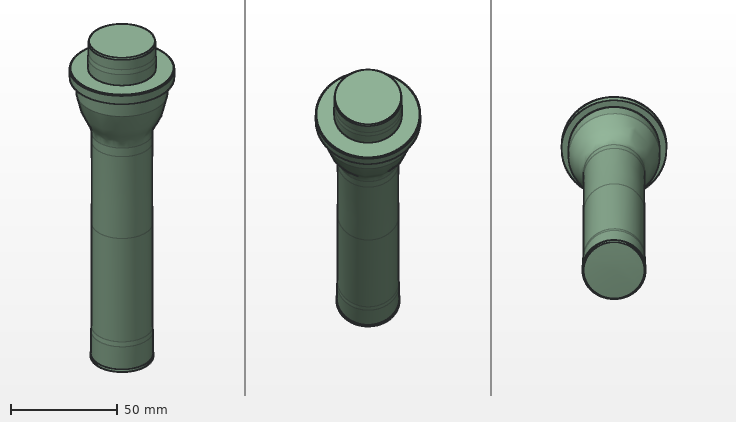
import cadquery as cq
import math

total_height = 174.0

collar_radius = 43.0 / 2

plug_top_radius = 31.7 / 2
plug_base_radius = 32.0 / 2
plug_chamfer_width = 0.3
plug_chamfer_height = 1.0
plug_taper_top_z = 167.7
plug_taper_height = 2.6
flange_radius = 49.5 / 2
flange_top_z = 159.0
flange_bottom_z = 154.0
flange_chamfer = 0.5
step_height = 0.5
seat_z = flange_bottom_z - step_height

collar_bottom_z = 145.5
shaft_radius = 28.9 / 2
flare_shoulder = (17.5, 132.2)
flare_neck = (15.5, 129.0)
flare_bottom_z = 123.9
flare_top_slope = 0.25
waist_top_z = 119.2
waist_bottom_z = 74.3
waist_depth = 0.2
end_radius = 29.2 / 2
end_taper_top_z = 17.5
end_taper_height = 2.6
lip_radius = 15.0
lip_top_z = 2.5
lip_middle_z = 1.5
dome_rim_radius = 14.3
dome_height = 0.7


def build_head():
    """Chamfered plug with a slight taper band, above a chamfered flange with a thin step below."""
    profile = (
        cq.Workplane("XZ")
        .moveTo(0, total_height)
        .lineTo(plug_top_radius - plug_chamfer_width, total_height)
        .lineTo(plug_top_radius, total_height - plug_chamfer_height)
        .lineTo(plug_top_radius, plug_taper_top_z)
        .lineTo(plug_base_radius, plug_taper_top_z - plug_taper_height)
        .lineTo(plug_base_radius, flange_top_z)
        .lineTo(flange_radius - flange_chamfer, flange_top_z)
        .lineTo(flange_radius, flange_top_z - flange_chamfer)
        .lineTo(flange_radius, flange_bottom_z)
        .lineTo(collar_radius, flange_bottom_z)
        .lineTo(collar_radius, seat_z)
        .lineTo(0, seat_z)
        .close()
    )
    return profile.revolve(360, (0, 0, 0), (0, 1, 0))


def build_handle():
    """Collar flaring smoothly into a long shaft with a lipped, domed end."""
    waist_middle = (shaft_radius - waist_depth, (waist_top_z + waist_bottom_z) / 2)
    dome_sphere_radius = (dome_rim_radius**2 + dome_height**2) / (2 * dome_height)
    dome_middle_x = dome_rim_radius / 2
    dome_middle_z = dome_sphere_radius - math.sqrt(dome_sphere_radius**2 - dome_middle_x**2)
    dome_middle = (dome_middle_x, dome_middle_z)
    profile = (
        cq.Workplane("XZ")
        .moveTo(0, seat_z)
        .lineTo(collar_radius, seat_z)
        .lineTo(collar_radius, collar_bottom_z)
        .spline(
            [flare_shoulder, flare_neck, (shaft_radius, flare_bottom_z)],
            tangents=[(-flare_top_slope, -1), (0, -1)],
            includeCurrent=True,
        )
        .lineTo(shaft_radius, waist_top_z)
        .threePointArc(waist_middle, (shaft_radius, waist_bottom_z))
        .lineTo(shaft_radius, end_taper_top_z)
        .lineTo(end_radius, end_taper_top_z - end_taper_height)
        .lineTo(end_radius, lip_top_z)
        .threePointArc((lip_radius, lip_middle_z), (dome_rim_radius, dome_height))
        .threePointArc(dome_middle, (0, 0))
        .close()
    )
    return profile.revolve(360, (0, 0, 0), (0, 1, 0))


head = build_head()
handle = build_handle()

result = cq.Compound.makeCompound([head.val(), handle.val()])